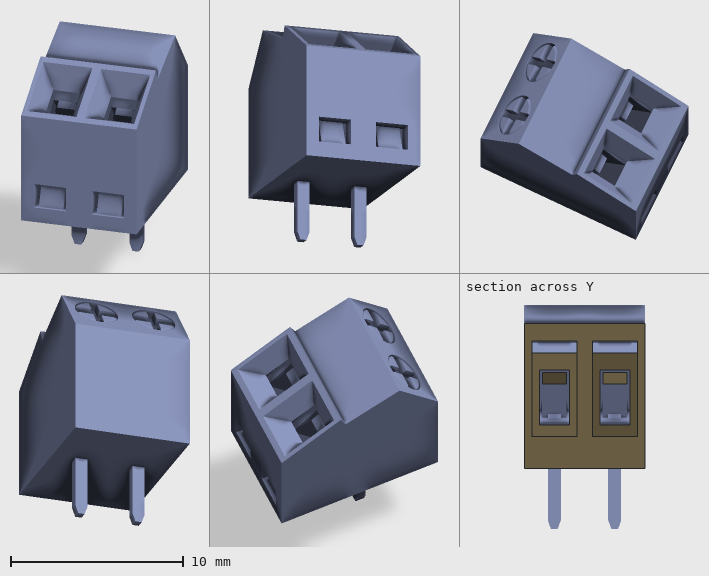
import cadquery as cq
import math


POLES = 2
PITCH = 3.5
WIDTH = POLES * PITCH
DEPTH = 10.0
TOTAL_HEIGHT = 12.97
PIN_DROP = 3.5
HEIGHT = TOTAL_HEIGHT - PIN_DROP
WALL_HEIGHT = 6.6
WIRE_SLOPE_ANGLE = math.radians(30.0)
WIRE_SLOPE_DEPTH = 3.79
WIRE_SLOPE_LENGTH = WIRE_SLOPE_DEPTH / math.cos(WIRE_SLOPE_ANGLE)
WIRE_SLOPE_RISE = WIRE_SLOPE_DEPTH * math.tan(WIRE_SLOPE_ANGLE)
NOTCH_Y = 4.1
NOTCH_Z = 8.09
RIDGE_Y = 7.54
POLE_CENTRES = [PITCH * (pole - (POLES - 1) / 2) for pole in range(POLES)]

SCREW_SLOPE_ANGLE = math.atan2(HEIGHT - WALL_HEIGHT, DEPTH - RIDGE_Y)
SCREW_INSET = 1.35
SCREW_DIAMETER = 2.6
SCREW_LENGTH = 2.0
SCREW_FILLET = 0.21
SLOT_DEPTH = 0.5
WIDE_SLOT = 0.7
NARROW_SLOT = 0.49
SLOT_TURN = 2.0

FUNNEL_WIDTH = 3.0
FUNNEL_MARGIN = 0.38
FUNNEL_LENGTH = WIRE_SLOPE_LENGTH - 2 * FUNNEL_MARGIN
FUNNEL_DEPTH = 1.28
FUNNEL_END_WIDTH = 1.63
FUNNEL_END_LENGTH = 1.67

CLAMP_WIDTH = 2.6
CLAMP_LENGTH = 3.92
CLAMP_WALL = 0.44
CLAMP_OPENING = 2.05
CLAMP_TOP_WALL = 1.5
CLAMP_HEIGHT = CLAMP_WALL + CLAMP_OPENING + CLAMP_TOP_WALL
CLAMP_FLOOR = 7.22
CLAMP_BASE = CLAMP_FLOOR + CLAMP_WALL

PIN_WIDTH = 0.75
PIN_THICKNESS = 0.55
PIN_Y = 5.71
PIN_RISE = 3.16
PIN_TIP_WIDTH = 0.39
PIN_TIP_LENGTH = 0.49
TONGUE_BASE = 5.71
TONGUE_THICKNESS = 0.47
TONGUE_LENGTH = 4.25
TONGUE_WIDTH = 1.41
TONGUE_TIP_WIDTH = 0.97
TONGUE_TAPER_LENGTH = 0.52

WINDOW_WIDTH = 1.97
WINDOW_HEIGHT = 1.48
WINDOW_BOTTOM = 0.91
WINDOW_DEPTH = 0.91
RAMP_WIDTH = 1.48
RAMP_INSET = 0.22
RAMP_LEAN = math.radians(21.5)


def wire_slope(x, depth=0.0):
    """Workplane parallel to the front slope, on a funnel axis, a given depth below the slope."""
    origin = (x, WIRE_SLOPE_DEPTH / 2, WALL_HEIGHT + WIRE_SLOPE_RISE / 2)
    normal = (0, -math.sin(WIRE_SLOPE_ANGLE), math.cos(WIRE_SLOPE_ANGLE))
    return cq.Workplane(cq.Plane(origin, (1, 0, 0), normal)).workplane(offset=-depth)


def screw_slope(x, depth=0.0):
    """Workplane square to a screw axis, a given depth below the rear slope (-Y to wire entry)."""
    origin = (x, DEPTH - SCREW_INSET, WALL_HEIGHT + SCREW_INSET * math.tan(SCREW_SLOPE_ANGLE))
    normal = (0, math.sin(SCREW_SLOPE_ANGLE), math.cos(SCREW_SLOPE_ANGLE))
    return cq.Workplane(cq.Plane(origin, (1, 0, 0), normal)).workplane(offset=-depth)


def make_screw_blank(x):
    return screw_slope(x).circle(SCREW_DIAMETER / 2).extrude(-SCREW_LENGTH)


def make_screw(x):
    """Round head with a filleted rim and a slightly turned cross slot."""
    head_face = cq.selectors.NearestToPointSelector(screw_slope(x).val().toTuple())
    blank = make_screw_blank(x).faces(head_face).edges().fillet(SCREW_FILLET)
    slots = screw_slope(x).transformed(rotate=(0, 0, -SLOT_TURN))
    wide_slot = slots.rect(2 * SCREW_DIAMETER, WIDE_SLOT).extrude(-SLOT_DEPTH)
    narrow_slot = slots.rect(NARROW_SLOT, 2 * SCREW_DIAMETER).extrude(-SLOT_DEPTH)
    return blank.cut(wide_slot).cut(narrow_slot)


def make_clamp_blank(x):
    return screw_slope(x, CLAMP_BASE).rect(CLAMP_WIDTH, CLAMP_LENGTH).extrude(CLAMP_HEIGHT)


def make_clamp(x):
    inner_width = CLAMP_WIDTH - 2 * CLAMP_WALL
    opening = screw_slope(x, CLAMP_FLOOR).rect(inner_width, 2 * CLAMP_LENGTH).extrude(CLAMP_OPENING)
    return make_clamp_blank(x).cut(opening)


def make_pin(x):
    half_leg = PIN_WIDTH / 2
    half_tip = PIN_TIP_WIDTH / 2
    tip_top = PIN_TIP_LENGTH - PIN_DROP
    leg = (
        cq.Workplane("XZ", origin=(x, PIN_Y, 0))
        .polyline([
            (-half_leg, PIN_RISE), (half_leg, PIN_RISE), (half_leg, tip_top),
            (half_tip, -PIN_DROP), (-half_tip, -PIN_DROP), (-half_leg, tip_top),
        ])
        .close()
        .extrude(PIN_THICKNESS / 2, both=True)
    )
    half_tongue = TONGUE_WIDTH / 2
    half_front = TONGUE_TIP_WIDTH / 2
    rear = TONGUE_LENGTH / 2
    taper_end = TONGUE_TAPER_LENGTH - rear
    tongue = (
        screw_slope(x, TONGUE_BASE)
        .polyline([
            (-half_front, -rear), (half_front, -rear), (half_tongue, taper_end),
            (half_tongue, rear), (-half_tongue, rear), (-half_tongue, taper_end),
        ])
        .close()
        .extrude(TONGUE_THICKNESS)
    )
    return leg.union(tongue)


def make_housing_block():
    """Side profile with the front wire slope, the notch behind it and the rear screw slope."""
    return (
        cq.Workplane("YZ")
        .polyline([
            (0, 0), (DEPTH, 0), (DEPTH, WALL_HEIGHT), (RIDGE_Y, HEIGHT), (NOTCH_Y, NOTCH_Z),
            (WIRE_SLOPE_DEPTH, WALL_HEIGHT + WIRE_SLOPE_RISE), (0, WALL_HEIGHT),
        ])
        .close()
        .extrude(WIDTH / 2, both=True)
    )


def make_funnel(x):
    return (
        wire_slope(x)
        .rect(FUNNEL_WIDTH, FUNNEL_LENGTH)
        .workplane(offset=-FUNNEL_DEPTH)
        .rect(FUNNEL_END_WIDTH, FUNNEL_END_LENGTH)
        .loft(ruled=True)
    )


def make_throat(x):
    """Passage as wide and tall as the cage, from the cage up to the end of the funnel."""
    passage = (
        screw_slope(x, CLAMP_BASE)
        .center(0, -CLAMP_LENGTH)
        .rect(CLAMP_WIDTH, 2 * CLAMP_LENGTH)
        .extrude(CLAMP_HEIGHT)
    )
    below_funnel = wire_slope(x, FUNNEL_DEPTH).rect(DEPTH, DEPTH).extrude(-DEPTH)
    return passage.intersect(below_funnel)


def make_window(x):
    recess = (
        cq.Workplane("XY", origin=(x, 0, WINDOW_BOTTOM))
        .rect(WINDOW_WIDTH, 2 * WINDOW_DEPTH)
        .extrude(WINDOW_HEIGHT)
    )
    ramp_top_y = RAMP_INSET + WINDOW_HEIGHT * math.tan(RAMP_LEAN)
    ramp = (
        cq.Workplane("YZ", origin=(x, 0, WINDOW_BOTTOM))
        .polyline([
            (RAMP_INSET, 0), (WINDOW_DEPTH, 0), (WINDOW_DEPTH, WINDOW_HEIGHT), (ramp_top_y, WINDOW_HEIGHT),
        ])
        .close()
        .extrude(RAMP_WIDTH / 2, both=True)
    )
    return recess.cut(ramp)


def make_housing():
    block = make_housing_block()
    for x in POLE_CENTRES:
        block = block.cut(make_funnel(x)).cut(make_throat(x)).cut(make_window(x))
        block = block.cut(make_screw_blank(x)).cut(make_clamp_blank(x)).cut(make_pin(x))
    return block


housing = make_housing()
screws = [make_screw(x).solids().val() for x in POLE_CENTRES]
clamps = [make_clamp(x).solids().val() for x in POLE_CENTRES]
pins = [make_pin(x).solids().val() for x in POLE_CENTRES]

result = cq.Compound.makeCompound([housing.solids().val(), *screws, *clamps, *pins])